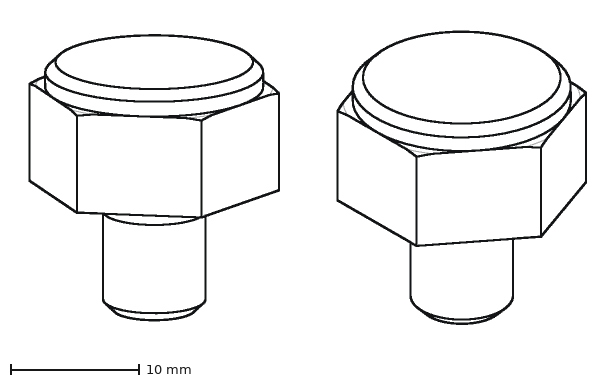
import cadquery as cq
import math

across_flats = 17.0
half_side_angle = 30.0
across_corners = across_flats / math.cos(math.radians(half_side_angle))
hex_height = 8.0
corner_bevel_start_radius = 9.25
corner_bevel_angle = 15.0

pad_radius = across_flats / 2
pad_height = 2.0
pad_chamfer = 0.8

stud_radius = 4.0
stud_length = 10.0
stud_chamfer = 0.8
neck_length = 1.25
neck_radius = stud_radius - stud_chamfer


def hex_head():
    """Hexagonal prism with flats facing +X and -X and its top corners bevelled by a shallow cone."""
    prism = cq.Workplane("XY").polygon(6, across_corners).extrude(hex_height)
    prism = prism.rotate((0, 0, 0), (0, 0, 1), half_side_angle)
    corner_radius = across_corners / 2
    bevel_drop = (corner_radius - corner_bevel_start_radius) * math.tan(math.radians(corner_bevel_angle))
    bevelled_envelope = (
        cq.Workplane("XZ")
        .moveTo(0, 0)
        .lineTo(corner_radius, 0)
        .lineTo(corner_radius, hex_height - bevel_drop)
        .lineTo(corner_bevel_start_radius, hex_height)
        .lineTo(0, hex_height)
        .close()
        .revolve(360, (0, 0), (0, 1))
    )
    return prism.intersect(bevelled_envelope)


def round_pad():
    """Disc on the head with a chamfered top rim."""
    disc = cq.Workplane("XY").workplane(offset=hex_height).circle(pad_radius).extrude(pad_height)
    return disc.faces(">Z").chamfer(pad_chamfer)


def stud():
    """Stud with a relief neck under the head and 45-degree chamfers at both ends of its full width."""
    return (
        cq.Workplane("XZ")
        .moveTo(0, 0)
        .lineTo(neck_radius, 0)
        .lineTo(neck_radius, -neck_length)
        .lineTo(stud_radius, -neck_length - stud_chamfer)
        .lineTo(stud_radius, -stud_length + stud_chamfer)
        .lineTo(neck_radius, -stud_length)
        .lineTo(0, -stud_length)
        .close()
        .revolve(360, (0, 0), (0, 1))
    )


result = hex_head().union(round_pad()).union(stud())